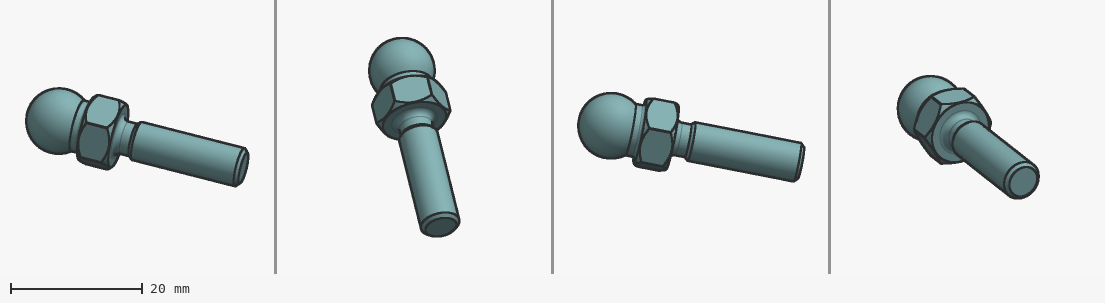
import cadquery as cq
import math

total_length = 34.5
ball_radius = 5.0

collar_radius = 4.0
collar_fillet = 0.5

hex_start = 9.5
hex_end = 14.5
hex_across_flats = 10.0
hex_crown_diameter = 11.5
hex_chamfer = 0.83

relief_radius = 2.55
relief_fillet = 1.0
relief_end = 16.95

shank_radius = 3.0
shank_start = 17.5
tip_chamfer = 0.6

hex_length = hex_end - hex_start
hex_corner_radius = hex_across_flats / math.sqrt(3)
collar_start = ball_radius + math.sqrt(ball_radius**2 - collar_radius**2)


def fillet_middle(center_x, center_r, radius, x_direction):
    """Midpoint of a quarter arc on the axis side of its center."""
    offset = radius * math.sqrt(0.5)
    return (center_x + x_direction * offset, center_r - offset)


def make_turned_body():
    """Ball, collar, relief groove and shank; the hex covers the middle of the profile."""
    collar_fillet_start = hex_start - collar_fillet
    collar_fillet_top = collar_radius + collar_fillet
    relief_fillet_end = hex_end + relief_fillet
    relief_fillet_top = relief_radius + relief_fillet
    profile = (
        cq.Workplane("XY")
        .moveTo(0, 0)
        .threePointArc((ball_radius, ball_radius), (collar_start, collar_radius))
        .lineTo(collar_fillet_start, collar_radius)
        .threePointArc(
            fillet_middle(collar_fillet_start, collar_fillet_top, collar_fillet, 1),
            (hex_start, collar_fillet_top),
        )
        .lineTo(hex_end, relief_fillet_top)
        .threePointArc(
            fillet_middle(relief_fillet_end, relief_fillet_top, relief_fillet, -1),
            (relief_fillet_end, relief_radius),
        )
        .lineTo(relief_end, relief_radius)
        .lineTo(shank_start, shank_radius)
        .lineTo(total_length - tip_chamfer, shank_radius)
        .lineTo(total_length, shank_radius - tip_chamfer)
        .lineTo(total_length, 0)
        .close()
    )
    return profile.revolve(360, (0, 0, 0), (1, 0, 0))


def make_hex():
    """Hexagon with corners along Y, turned to the crown diameter and chamfered at both ends."""
    hex_plane = cq.Workplane("YZ").workplane(offset=hex_start)
    prism = hex_plane.polygon(6, 2 * hex_corner_radius).extrude(hex_length)
    envelope = (
        hex_plane.circle(hex_crown_diameter / 2)
        .extrude(hex_length)
        .edges("%CIRCLE")
        .chamfer(hex_chamfer)
    )
    return prism.intersect(envelope)


result = make_turned_body().union(make_hex())